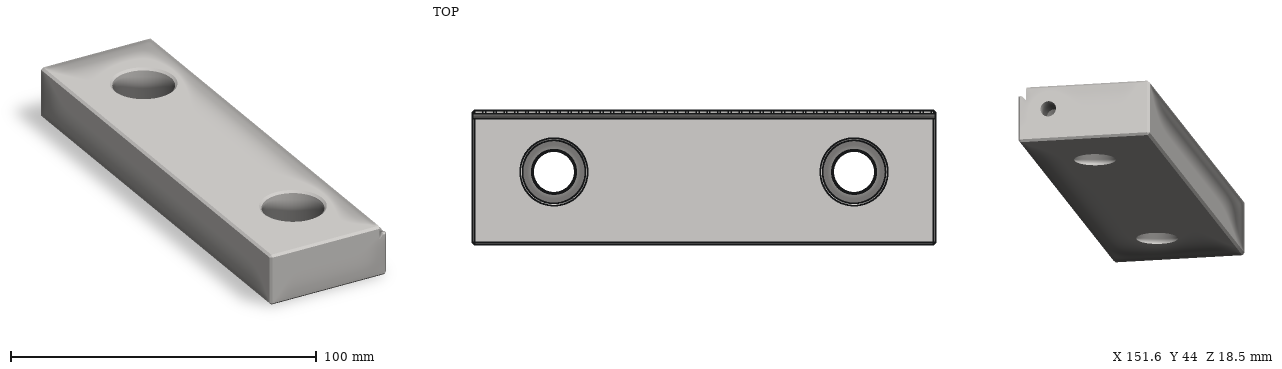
import cadquery as cq
import math

length = 151.6
width = 44.0
height = 18.5
edge_chamfer = 0.8
top_z = height / 2
back_y = width / 2

ledge_width = 2.7
ledge_drop = 3.0
relief_width = 1.5

full_scallops = 43
scallop_width = 2.6
scallop_depth = 0.4
first_scallop_offset = 2.1
last_scallop_offset = 2.7

hole_spacing = 98.3
hole_y = 1.8
bore_diameter = 13.6
counterbore_diameter = 20.6
counterbore_depth = 13.0
counterbore_chamfer = 0.8
bore_chamfer = 0.5

drill_diameter = 5.2
drill_depth = 10.0
drill_from_back = 10.2
drill_from_top = 7.9
drill_point_angle = 118.0
drill_y = back_y - drill_from_back
drill_z = top_z - drill_from_top


def make_block():
    """Plain block with every outer edge chamfered."""
    return cq.Workplane("XY").box(length, width, height).edges().chamfer(edge_chamfer)


def ledge_cut():
    """Step along the back top edge with a sloping undercut at the foot of its wall."""
    wall_y = back_y - ledge_width
    ledge_z = top_z - ledge_drop
    profile = [
        (back_y, top_z),
        (wall_y, top_z),
        (wall_y, ledge_z - relief_width),
        (wall_y + relief_width, ledge_z),
        (back_y, ledge_z),
    ]
    return cq.Workplane("YZ").polyline(profile).close().extrude(length / 2, both=True)


def scallop_cuts():
    """Row of shallow round grooves across the flat of the ledge, ending where the relief starts."""
    ledge_z = top_z - ledge_drop
    half_width = scallop_width / 2
    groove = (
        cq.Workplane("XZ", origin=(0, back_y, 0))
        .moveTo(-half_width, ledge_z)
        .threePointArc((0, ledge_z - scallop_depth), (half_width, ledge_z))
        .close()
        .extrude(ledge_width - relief_width)
    )
    first_x = -length / 2 + first_scallop_offset
    pitch = (length - first_scallop_offset - last_scallop_offset) / (full_scallops - 1)
    grooves = [groove.translate((first_x + i * pitch, 0, 0)).val() for i in range(full_scallops + 1)]
    return cq.Workplane(cq.Compound.makeCompound(grooves))


def mounting_hole_cut(x):
    """Counterbored through hole with chamfered mouths, as a solid of revolution."""
    bore_radius = bore_diameter / 2
    counterbore_radius = counterbore_diameter / 2
    floor_z = top_z - counterbore_depth
    profile = [
        (0, -top_z),
        (bore_radius, -top_z),
        (bore_radius, floor_z - bore_chamfer),
        (bore_radius + bore_chamfer, floor_z),
        (counterbore_radius, floor_z),
        (counterbore_radius, top_z - counterbore_chamfer),
        (counterbore_radius + counterbore_chamfer, top_z),
        (0, top_z),
    ]
    cut = cq.Workplane("XZ").polyline(profile).close().revolve(360, (0, 0), (0, 1))
    return cut.translate((x, hole_y, 0))


def end_drill_cut():
    """Blind hole along X with a conical drill point."""
    radius = drill_diameter / 2
    point_length = radius / math.tan(math.radians(drill_point_angle / 2))
    profile = [
        (0, 0),
        (drill_depth + point_length, 0),
        (drill_depth, radius),
        (0, radius),
    ]
    cut = cq.Workplane("XY").polyline(profile).close().revolve(360, (0, 0), (1, 0))
    return cut.translate((-length / 2, drill_y, drill_z))


result = make_block().cut(ledge_cut()).cut(scallop_cuts())
for side in (-1, 1):
    result = result.cut(mounting_hole_cut(side * hole_spacing / 2))
result = result.cut(end_drill_cut())